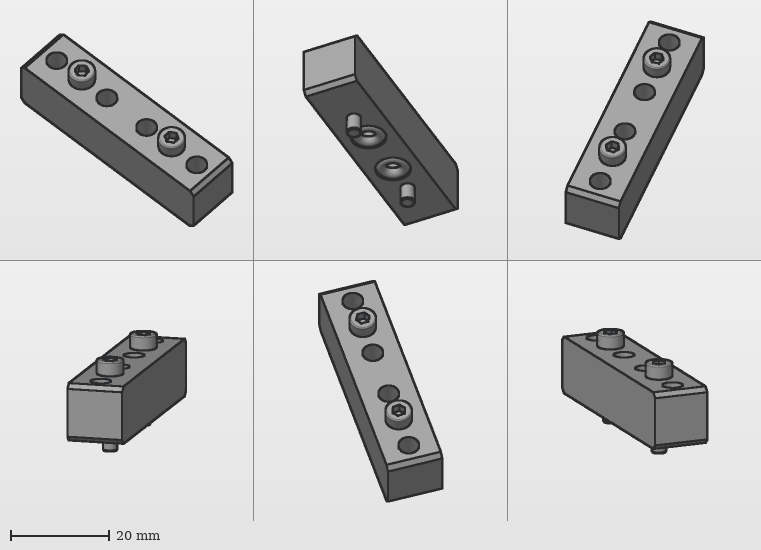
import cadquery as cq
import math

block_length = 48.0
block_width = 11.6
block_height = 12.0
end_chamfer = 1.0

hole_diameter = 4.2
blind_hole_x = 19.5
blind_hole_depth = 8.0
drill_point_angle = 118.0
through_hole_x = 5.5

screw_x = 12.5
screw_turns = {-1: 8.0, 1: 0.0}
shank_diameter = 3.0
shank_projection = 4.0
shank_tip_chamfer_height = 0.3
shank_tip_chamfer_width = 0.2
head_diameter = 5.45
head_height = 3.0
head_edge_fillet = 0.3
socket_across_flats = 2.5
socket_depth = 2.0

ring_x = 5.7
ring_inner_diameter = 2.9
ring_section_diameter = 2.2
ring_projection = 0.25
ring_outer_diameter = ring_inner_diameter + 2 * ring_section_diameter
ring_seat_depth = ring_section_diameter - ring_projection

sides = (-1, 1)


def cylinder(diameter, bottom, top):
    """Vertical cylinder on the Z axis between two heights."""
    return cq.Workplane("XY").workplane(offset=bottom).circle(diameter / 2).extrude(top - bottom)


def make_blind_hole():
    """Cutter for a drilled hole with a conical bottom, entering from the top face."""
    radius = hole_diameter / 2
    shoulder = block_height - blind_hole_depth
    point_height = radius / math.tan(math.radians(drill_point_angle / 2))
    return (
        cq.Workplane("XZ")
        .moveTo(0, shoulder - point_height)
        .lineTo(radius, shoulder)
        .lineTo(radius, block_height)
        .lineTo(0, block_height)
        .close()
        .revolve(360, (0, 0, 0), (0, 1, 0))
    )


def make_block():
    block = (
        cq.Workplane("XY")
        .box(block_length, block_width, block_height, centered=(True, True, False))
        .edges("|Y")
        .chamfer(end_chamfer)
    )
    blind_hole = make_blind_hole()
    through_hole = cylinder(hole_diameter, 0, block_height)
    screw_hole = cylinder(shank_diameter, 0, block_height)
    ring_seat = cylinder(ring_outer_diameter, 0, ring_seat_depth)
    for side in sides:
        block = block.cut(blind_hole.translate((side * blind_hole_x, 0, 0)))
        block = block.cut(through_hole.translate((side * through_hole_x, 0, 0)))
        block = block.cut(screw_hole.translate((side * screw_x, 0, 0)))
        block = block.cut(ring_seat.translate((side * ring_x, 0, 0)))
    return block


def make_screw(side):
    """Hex socket screw through the block, its head resting on the top face."""
    head_top = block_height + head_height
    head = cylinder(head_diameter, block_height, head_top).edges("%CIRCLE").fillet(head_edge_fillet)
    shank = (
        cylinder(shank_diameter, -shank_projection, block_height)
        .faces("<Z")
        .chamfer(shank_tip_chamfer_height, shank_tip_chamfer_width)
    )
    socket_across_corners = socket_across_flats / math.cos(math.radians(30))
    socket = (
        cq.Workplane("XY")
        .workplane(offset=head_top - socket_depth)
        .polygon(6, socket_across_corners)
        .extrude(socket_depth)
        .rotate((0, 0, 0), (0, 0, 1), 90 + screw_turns[side])
    )
    return head.union(shank).cut(socket).translate((side * screw_x, 0, 0))


def make_ring(side):
    """O-ring seated against the counterbore floor and standing proud of the underside."""
    section_radius = ring_section_diameter / 2
    centreline_radius = ring_inner_diameter / 2 + section_radius
    ring = cq.Solid.makeTorus(centreline_radius, section_radius)
    return cq.Workplane(ring).translate((side * ring_x, 0, ring_seat_depth - section_radius))


block = make_block()
screws = [make_screw(side).val() for side in sides]
rings = [make_ring(side).val() for side in sides]

result = cq.Compound.makeCompound([block.val(), *screws, *rings])